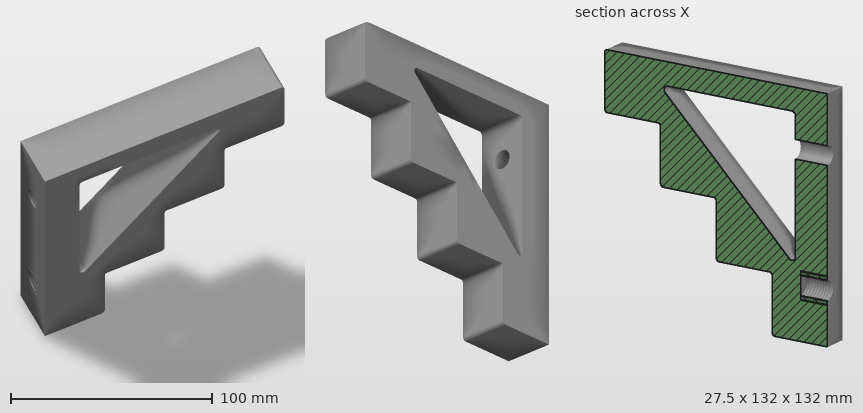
import cadquery as cq
import math

SIDE = 132.0
WIDTH = 27.5
STEP_COUNT = 4
STEP = SIDE / STEP_COUNT
NOSE_RADIUS = 2.0
INNER_RADIUS = 1.3
FRONT_Y = -SIDE / 2
TOP_Z = SIDE / 2

WINDOW_TOP_WALL = 13.0
WINDOW_FRONT_WALL = 19.1
WINDOW_LEG = 80.3
WINDOW_RADIUS = 2.0

SCREW_HOLE_DIAMETER = 10.0
SCREW_HOLE_Z = 33.7
SCREW_HOLE_LENGTH = 1.5 * WINDOW_FRONT_WALL
INSERT_Z = -36.7

POCKET_DIAMETER = 15.0
INSERT_CLEARANCE = 0.1
INSERT_DIAMETER = POCKET_DIAMETER - 2 * INSERT_CLEARANCE
INSERT_LENGTH = 15.8
BORE_DIAMETER = 10.0
THREAD_PITCH = 1.7
THREAD_DEPTH = 0.5
THREAD_MOUTH = 1.2
THREAD_ROOT = 0.3
THREAD_OVERLAP = 0.1
THREAD_START_ANGLE = 240
THREAD_TURNS = math.ceil(INSERT_LENGTH / THREAD_PITCH) + 2


def along_y(diameter, length, z):
    """Cylinder running rearward from the front face."""
    plane = cq.Plane(origin=(0, FRONT_Y, z), xDir=(1, 0, 0), normal=(0, 1, 0))
    return cq.Workplane(plane).circle(diameter / 2).extrude(length)


def make_stair_block():
    rear_y = SIDE / 2
    outline = [(FRONT_Y, TOP_Z), (rear_y, TOP_Z)]
    noses = [(rear_y, TOP_Z)]
    inner_corners = []
    for i in range(STEP_COUNT):
        y = rear_y - i * STEP
        z = TOP_Z - (i + 1) * STEP
        outline += [(y, z), (y - STEP, z)]
        noses.append((y, z))
        inner_corners.append((y - STEP, z))
    inner_corners.pop()

    block = cq.Workplane("YZ").polyline(outline).close().extrude(WIDTH / 2, both=True)
    block = round_edges(block, noses, NOSE_RADIUS)
    return round_edges(block, inner_corners, INNER_RADIUS)


def round_edges(body, corners, radius):
    """Fillet the edges along X at the given (y, z) corners."""
    for y, z in corners:
        body = body.edges(cq.selectors.NearestToPointSelector((0, y, z))).fillet(radius)
    return body


def make_window():
    front_y = FRONT_Y + WINDOW_FRONT_WALL
    top_z = TOP_Z - WINDOW_TOP_WALL
    corners = [(front_y, top_z), (front_y + WINDOW_LEG, top_z), (front_y, top_z - WINDOW_LEG)]
    window = cq.Workplane("YZ").polyline(corners).close().extrude(WIDTH / 2, both=True)
    return window.edges("|X").fillet(WINDOW_RADIUS)


def make_bracket():
    screw_hole = along_y(SCREW_HOLE_DIAMETER, SCREW_HOLE_LENGTH, SCREW_HOLE_Z)
    insert_pocket = along_y(POCKET_DIAMETER, INSERT_LENGTH, INSERT_Z)
    return make_stair_block().cut(make_window()).cut(screw_hole).cut(insert_pocket)


def make_thread_groove():
    """Groove swept along a helix about Z, starting one pitch below Z = 0."""
    bore_radius = BORE_DIAMETER / 2
    root_radius = bore_radius + THREAD_DEPTH
    inner_radius = bore_radius - THREAD_OVERLAP
    helix = cq.Wire.makeHelix(THREAD_PITCH, THREAD_TURNS * THREAD_PITCH, bore_radius)
    profile = [
        (inner_radius, -THREAD_MOUTH / 2),
        (root_radius, -THREAD_ROOT / 2),
        (root_radius, THREAD_ROOT / 2),
        (inner_radius, THREAD_MOUTH / 2),
    ]
    groove = cq.Workplane("XZ").polyline(profile).close().sweep(cq.Workplane(helix), isFrenet=True)
    return groove.translate((0, 0, -THREAD_PITCH))


def make_insert():
    """Build the sleeve about Z, then turn its axis to Y and seat it in the bracket."""
    sleeve = cq.Workplane("XY").circle(INSERT_DIAMETER / 2).circle(BORE_DIAMETER / 2).extrude(INSERT_LENGTH)
    sleeve = sleeve.cut(make_thread_groove())
    sleeve = sleeve.rotate((0, 0, 0), (0, 0, 1), THREAD_START_ANGLE)
    return sleeve.rotate((0, 0, 0), (1, 0, 0), -90).translate((0, FRONT_Y, INSERT_Z))


bracket = make_bracket()
insert = make_insert()

result = cq.Compound.makeCompound([bracket.solids().val(), insert.solids().val()])